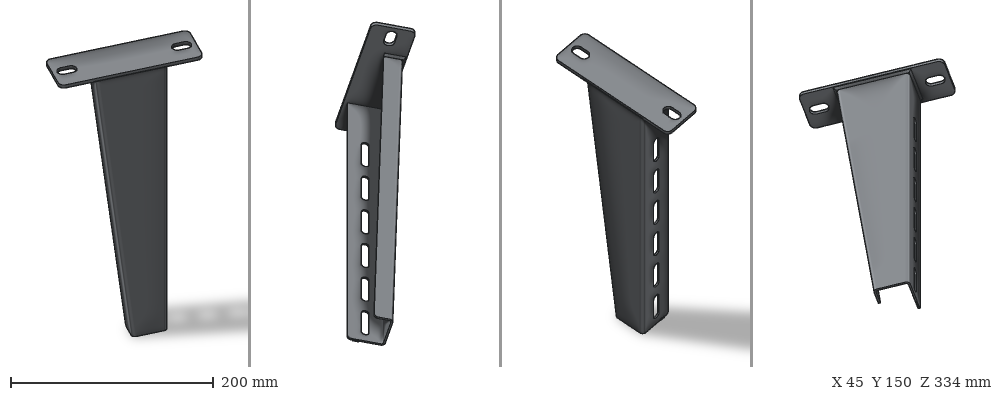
import cadquery as cq

plate_width = 45.0
plate_length = 150.0
plate_thickness = 4.0
plate_corner_radius = 6.0
plate_slot_width = 11.0
plate_slot_length = 20.0
plate_slot_spacing = 120.0

total_height = 334
sheet_thickness = 2.0
bend_radius = 4.0
web_x = 19.5
rear_edge_x = -18.7
front_edge_x = -0.7
rear_y = 39.0
front_top_y = -36.7
front_bottom_y = 1.7
flange_corner_radius = 4.0

tab_height = 1.0
tab_thickness = 1.0
tab_width = 6.0
tab_x = -10.0

flange_slot_width = 8.0
flange_slot_length = 33.5
flange_slot_pitch = 47.0
flange_slot_count = 6
flange_slot_x = -0.7
first_slot_z = -71.8

weld_leg = 2.5

channel_top_z = -plate_thickness
channel_bottom_z = tab_height - total_height
channel_height = channel_top_z - channel_bottom_z


def make_plate():
    plate = (
        cq.Workplane("XY")
        .workplane(offset=-plate_thickness)
        .rect(plate_width, plate_length)
        .extrude(plate_thickness)
        .edges("|Z")
        .fillet(plate_corner_radius)
    )
    slots = (
        cq.Workplane("XY")
        .workplane(offset=-plate_thickness)
        .pushPoints([(0, -plate_slot_spacing / 2), (0, plate_slot_spacing / 2)])
        .slot2D(plate_slot_length, plate_slot_width, 90)
        .extrude(plate_thickness)
    )
    return plate.cut(slots)


def tapered_block(inset, radius):
    """Side profile of the channel, inset by a wall and rounded along its two +X bends."""
    rear = rear_y - inset
    block = (
        cq.Workplane("YZ")
        .workplane(offset=rear_edge_x)
        .moveTo(rear, channel_top_z)
        .lineTo(front_top_y + inset, channel_top_z)
        .lineTo(front_bottom_y + inset, channel_bottom_z)
        .lineTo(rear, channel_bottom_z)
        .close()
        .extrude(web_x - inset - rear_edge_x)
    )
    return block.faces(">X").edges("<Y or >Y").fillet(radius)


def round_flange_corner(channel, edge_x, y_start, y_end):
    """Round the lower free corner of the flange lying between two Y positions."""
    radius = flange_corner_radius
    waste = (
        cq.Workplane("XZ", origin=(0, y_end, 0))
        .moveTo(edge_x, channel_bottom_z)
        .lineTo(edge_x + radius, channel_bottom_z)
        .radiusArc((edge_x, channel_bottom_z + radius), radius)
        .close()
        .extrude(y_end - y_start)
    )
    return channel.cut(waste)


def make_channel():
    inner_radius = bend_radius - sheet_thickness
    channel = tapered_block(0, bend_radius).cut(tapered_block(sheet_thickness, inner_radius))

    rear_inner_y = rear_y - sheet_thickness
    trim = cq.Workplane("XY").box(
        front_edge_x - rear_edge_x, rear_inner_y - front_top_y, channel_height, centered=False
    )
    channel = channel.cut(trim.translate((rear_edge_x, front_top_y, channel_bottom_z)))
    channel = round_flange_corner(channel, rear_edge_x, rear_inner_y, rear_y)
    channel = round_flange_corner(channel, front_edge_x, front_top_y, rear_inner_y)

    slot_centers = [
        (flange_slot_x, first_slot_z - i * flange_slot_pitch) for i in range(flange_slot_count)
    ]
    slots = (
        cq.Workplane("XZ", origin=(0, rear_y, 0))
        .pushPoints(slot_centers)
        .slot2D(flange_slot_length, flange_slot_width, 90)
        .extrude(sheet_thickness)
    )
    return channel.cut(slots)


def make_tab():
    tab = cq.Workplane("XY").box(
        tab_width, tab_thickness, tab_height + sheet_thickness, centered=(True, False, False)
    )
    return tab.translate((tab_x, rear_y - tab_thickness, -total_height))


def box_between(x_range, y_range):
    """Box as tall as the weld bead, directly under the plate."""
    box = cq.Workplane("XY").box(
        x_range[1] - x_range[0], y_range[1] - y_range[0], weld_leg, centered=False
    )
    return box.translate((x_range[0], y_range[0], channel_top_z - weld_leg))


def make_weld():
    """45 degree bead around the outside of the channel, under the plate."""
    front_y = front_top_y - weld_leg
    bead = (
        cq.Workplane("XY", origin=(0, 0, channel_top_z))
        .center((rear_edge_x + web_x) / 2, (rear_y + front_top_y) / 2)
        .rect(web_x - rear_edge_x + 2 * weld_leg, rear_y - front_top_y + 2 * weld_leg)
        .extrude(-weld_leg, taper=45)
    )
    inside = box_between(
        (rear_edge_x - weld_leg, web_x - sheet_thickness),
        (front_top_y + sheet_thickness, rear_y - sheet_thickness),
    )
    rear_overrun = box_between((rear_edge_x - weld_leg, rear_edge_x), (front_y, rear_y + weld_leg))
    front_overrun = box_between((rear_edge_x - weld_leg, front_edge_x), (front_y, 0))
    return bead.cut(inside).cut(rear_overrun).cut(front_overrun)


result = make_plate().union(make_channel()).union(make_tab()).union(make_weld())